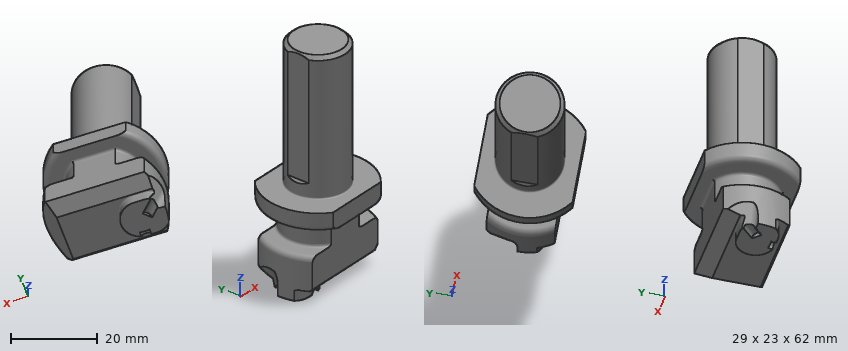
import cadquery as cq
import math

total_height = 62.0
pad_bottom = 3.1
pad_top = 12.15
flange_bottom = 19.05
flange_top = 24.05

shank_radius = 8.0
shank_chamfer = 1.0
shank_root_fillet = 0.4
shank_flat_x = -7.4
shank_flat_bottom = 27.45

outer_radius = 14.5
outer_fillet = 1.5
flange_width = 23.0
flange_half_width = flange_width / 2
neck_radius = 9.5
neck_fillet = 0.75
pad_half_width = 8.0

end_bevel_run = 3.9
end_bevel_rise = 4.6
back_bevel_run = 3.9
back_bevel_rise = 1.6
front_bevel = 0.5

boss_radius = 4.6
boss_y = -1.0
boss_inner_x = -7.95
boss_outer_x = -10.55
boss_fillet = 0.5

flute_top_x = -14.4
flute_top_y = 1.55
flute_top_z = 6.1
flute_lean = 21.0
flute_yaw = 9.2
flute_radius = 1.5
flute_size = 18.6

groove_radius = 1.2
front_groove_mouth = (boss_inner_x, boss_y - boss_radius)
front_groove_heading = 90.0
front_groove_depth = 1.25
flute_groove_mouth = (-12.1, 1.55)
flute_groove_heading = -45.0
flute_groove_depth = 3.1

pick_margin = 0.2


def block(x_min, x_max, y_min, y_max, z_min, z_max):
    size = (x_max - x_min, y_max - y_min, z_max - z_min)
    return cq.Workplane("XY").box(*size, centered=False).translate((x_min, y_min, z_min))


def cylinder(radius, z_min, z_max):
    return cq.Workplane("XY").workplane(offset=z_min).circle(radius).extrude(z_max - z_min)


def edges_at(z, reach_x, reach_y):
    return cq.selectors.BoxSelector(
        (-reach_x, -reach_y, z - pick_margin),
        (reach_x, reach_y, z + pick_margin),
        boundingbox=True,
    )


def make_shank():
    shank = cylinder(shank_radius, flange_top, total_height).faces(">Z").chamfer(shank_chamfer)
    flat_depth = shank_radius + shank_flat_x
    flat_cut = (
        cq.Workplane("XZ")
        .moveTo(shank_flat_x, total_height)
        .lineTo(shank_flat_x, shank_flat_bottom + flat_depth)
        .lineTo(-shank_radius, shank_flat_bottom)
        .lineTo(-shank_radius, total_height)
        .close()
        .extrude(shank_radius, both=True)
    )
    return shank.cut(flat_cut)


def make_flange():
    disc = cylinder(outer_radius, flange_bottom, flange_top).faces("<Z").edges().fillet(outer_fillet)
    slab = block(
        -outer_radius, outer_radius, -flange_half_width, flange_half_width, flange_bottom, flange_top
    )
    return disc.intersect(slab)


def make_pad_with_boss():
    reach = outer_radius + boss_radius
    pad = block(-reach, reach, -pad_half_width, pad_half_width, pad_bottom, pad_top)
    boss = (
        cq.Workplane("XY")
        .center((boss_inner_x + boss_outer_x) / 2, boss_y)
        .slot2D(boss_inner_x - boss_outer_x + 2 * boss_radius, 2 * boss_radius)
        .extrude(pad_top)
    )
    root = edges_at(pad_bottom, reach - pick_margin, pad_half_width - pick_margin)
    pad = pad.union(boss).edges(root).fillet(boss_fillet)
    envelope = cylinder(outer_radius, 0, pad_top).faces(">Z").edges().fillet(outer_fillet)
    return pad.intersect(envelope)


def make_neck():
    foot = (
        cq.Workplane("XZ")
        .moveTo(0, pad_top)
        .lineTo(neck_radius + neck_fillet, pad_top)
        .radiusArc((neck_radius, pad_top + neck_fillet), neck_fillet)
        .lineTo(neck_radius, flange_bottom)
        .lineTo(0, flange_bottom)
        .close()
        .revolve(360, (0, 0, 0), (0, 1, 0))
    )
    reach = neck_radius + neck_fillet
    return foot.intersect(block(-reach, reach, -pad_half_width, pad_half_width, pad_top, flange_bottom))


def make_bevel(plane, edge, run, rise):
    return (
        cq.Workplane(plane)
        .moveTo(edge, pad_bottom)
        .lineTo(edge + run, pad_bottom)
        .lineTo(edge, pad_bottom + rise)
        .close()
        .extrude(outer_radius, both=True)
    )


def make_bevels():
    end = make_bevel("XZ", outer_radius, -end_bevel_run, end_bevel_rise)
    back = make_bevel("YZ", pad_half_width, -back_bevel_run, back_bevel_rise)
    front = make_bevel("YZ", -pad_half_width, front_bevel, front_bevel)
    return end.union(back).union(front)


def make_flute():
    lean = math.radians(flute_lean)
    yaw = math.radians(flute_yaw)
    axis = cq.Vector(math.sin(lean), 0, -math.cos(lean))
    across = cq.Vector(math.sin(yaw), math.cos(yaw), math.sin(yaw) * math.tan(lean))
    start = cq.Vector(flute_top_x, flute_top_y, flute_top_z) - axis * flute_size
    section = cq.Plane(origin=start.toTuple(), xDir=across.toTuple(), normal=axis.toTuple())
    wall_start = (-flute_radius * math.cos(yaw), -flute_radius * (1 - math.sin(yaw)))
    wall_end = (wall_start[0] - flute_size * math.sin(yaw), wall_start[1] - flute_size * math.cos(yaw))
    return (
        cq.Workplane(section)
        .lineTo(flute_size, 0)
        .lineTo(flute_size, wall_end[1])
        .lineTo(*wall_end)
        .lineTo(*wall_start)
        .radiusArc((0, 0), flute_radius)
        .close()
        .extrude(2 * flute_size)
    )


def make_groove(mouth, heading, depth):
    angle = math.radians(heading)
    plane = cq.Plane(origin=(*mouth, 0), xDir=(0, 0, 1), normal=(math.cos(angle), math.sin(angle), 0))
    lead_in = 2 * groove_radius
    return cq.Workplane(plane).workplane(offset=-lead_in).circle(groove_radius).extrude(lead_in + depth)


def add_neck_top_fillet(body):
    neck_end = edges_at(flange_bottom, neck_radius + pick_margin, pad_half_width + pick_margin)
    return body.edges(neck_end).fillet(neck_fillet)


def add_shank_root_fillet(body):
    reach = shank_radius + pick_margin
    return body.edges(edges_at(flange_top, reach, reach)).fillet(shank_root_fillet)


head = add_neck_top_fillet(make_flange().union(make_neck()))
head = add_shank_root_fillet(head.union(make_shank()))
body = head.union(make_pad_with_boss())
result = body.cut(make_bevels()).cut(make_flute())
result = result.cut(make_groove(front_groove_mouth, front_groove_heading, front_groove_depth))
result = result.cut(make_groove(flute_groove_mouth, flute_groove_heading, flute_groove_depth))